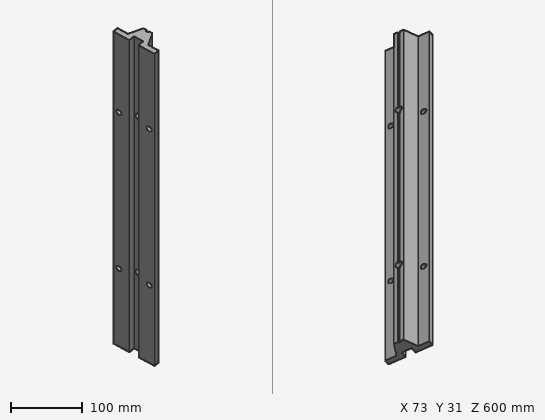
import cadquery as cq

length = 600.0
width = 73.0
height = 31.0

flange_thickness = 9.0
ridge_base_width = 36.0
ridge_top_width = 16.0
slot_width = 16.0
slot_depth = 10.0
notch_width = 4.0
notch_depth = 2.0

side_hole_diameter = 9.0
center_hole_diameter = 11.0
side_hole_offset = 27.0
hole_levels = (-length / 4, length / 4)

front_y = -height / 2
back_y = height / 2
flange_back_y = front_y + flange_thickness
slot_floor_y = front_y + slot_depth


def rail_body():
    """Extrude the symmetric flanged ridge along Z."""
    half_outline = [
        (0, slot_floor_y),
        (slot_width / 2, slot_floor_y),
        (slot_width / 2, front_y),
        (width / 2, front_y),
        (width / 2, flange_back_y),
        (ridge_base_width / 2, flange_back_y),
        (ridge_top_width / 2, back_y),
        (notch_width / 2, back_y),
        (notch_width / 2, back_y - notch_depth),
        (0, back_y - notch_depth),
    ]
    mirrored = [(-x, y) for x, y in reversed(half_outline[1:-1])]
    outline = cq.Workplane("XY").polyline(half_outline + mirrored).close()
    return outline.extrude(length / 2, both=True)


def through_holes(diameter, x_positions):
    """Cylinders along Y through the full depth at both hole levels."""
    points = [(x, z) for x in x_positions for z in hole_levels]
    plane = cq.Workplane("XZ").pushPoints(points)
    return plane.circle(diameter / 2).extrude(height, both=True)


side_holes = through_holes(side_hole_diameter, (-side_hole_offset, side_hole_offset))
center_holes = through_holes(center_hole_diameter, (0,))

result = rail_body().cut(side_holes).cut(center_holes)